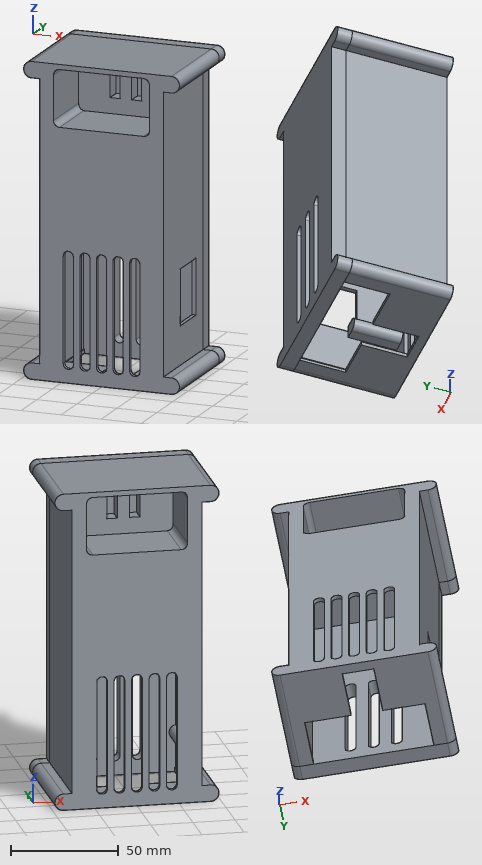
import cadquery as cq

width = 78.0
depth = 57.6
height = 153.7

body_width = 61.8
flange_height = 8.0
cover_thickness = 7.2
seam_y = depth - cover_thickness

wall = 2.0
inner_half_width = body_width / 2 - wall

window_width = 48.0
window_bottom = 123.3
window_top = 151.2
window_corner_diameter = 6.0
window_radius = window_corner_diameter / 2
cavity_top = window_bottom - wall

insert_gap = 0.5
insert_front_y = 30.7
port_width = 4.9
port_bottom = 131.0
port_top = 143.2
port_depth = 7.7
port_spacing = 10.8

vent_width = 5.0
front_vent_count = 5
front_vent_pitch = 8.3
front_vent_bottom = 6.8
front_vent_top = 63.8
rear_vent_count = 3
rear_vent_pitch = 10.9
rear_vent_bottom = 6.9
rear_vent_top = 66.9

floor_opening_width = 56.9
floor_opening_front_y = 27.5
notch_left_x = -6.5
notch_right_x = 8.5
notch_front_y = 4.6

side_opening_front_y = 21.7
side_opening_length = 20.0
side_opening_bottom = 27.0
side_opening_height = 27.5

post_radius = 3.5
post_x = 24.3
post_z = 26.7
post_end_y = 26.1


def box_between(x0, x1, y0, y1, z0, z1):
    """Box given by its limits along each axis."""
    return cq.Workplane("XY").box(x1 - x0, y1 - y0, z1 - z0, centered=False).translate((x0, y0, z0))


def centred_box(box_width, y0, y1, z0, z1):
    """Box between the given limits, centred on X = 0."""
    return box_between(-box_width / 2, box_width / 2, y0, y1, z0, z1)


def tower_block(y0, y1):
    """Solid slice of the tower outline between two Y positions."""
    block = centred_box(body_width, y0, y1, 0, height)
    for flange_z in (flange_height / 2, height - flange_height / 2):
        flange = (
            cq.Workplane("XZ", origin=(0, y0, flange_z))
            .slot2D(width, flange_height)
            .extrude(y0 - y1)
        )
        block = block.union(flange)
    return block


def vent_cutters(count, pitch, bottom, top, y0, y1):
    """Row of upright round-ended slots, centred on X = 0."""
    return (
        cq.Workplane("XZ", origin=(0, y0, (bottom + top) / 2))
        .rarray(pitch, 1.5, count, 1)
        .slot2D(top - bottom, vent_width, 90)
        .extrude(y0 - y1)
    )


def make_post():
    """Post with a half-round tip, joined to the +X wall by a flat-sided web."""
    start_y = wall / 2
    tip = (
        cq.Workplane("XZ", origin=(post_x, start_y, post_z))
        .circle(post_radius)
        .extrude(start_y - post_end_y)
    )
    web = box_between(
        post_x, inner_half_width, start_y, post_end_y, post_z - post_radius, post_z + post_radius
    )
    return tip.union(web)


def cut_floor(shell):
    """Open the floor at the rear and along the notch in front."""
    rear = centred_box(floor_opening_width, floor_opening_front_y, seam_y, 0, wall)
    notch = box_between(notch_left_x, notch_right_x, notch_front_y, floor_opening_front_y, 0, wall)
    return shell.cut(rear).cut(notch)


def cut_side_opening(shell):
    """Rectangular opening through the +X wall only."""
    opening = box_between(
        inner_half_width,
        body_width / 2,
        side_opening_front_y,
        side_opening_front_y + side_opening_length,
        side_opening_bottom,
        side_opening_bottom + side_opening_height,
    )
    return shell.cut(opening)


def make_housing():
    shell = tower_block(0, seam_y)
    shell = shell.cut(centred_box(2 * inner_half_width, wall, seam_y, wall, cavity_top))
    pocket = centred_box(window_width, 0, seam_y, window_bottom, window_top)
    shell = shell.cut(pocket.edges("|Y").fillet(window_radius))
    shell = shell.cut(
        vent_cutters(front_vent_count, front_vent_pitch, front_vent_bottom, front_vent_top, 0, wall)
    )
    shell = cut_floor(shell)
    shell = cut_side_opening(shell)
    return shell.union(make_post())


def make_cover():
    vents = vent_cutters(
        rear_vent_count, rear_vent_pitch, rear_vent_bottom, rear_vent_top, seam_y, depth
    )
    return tower_block(seam_y, depth).cut(vents)


def make_insert():
    insert_width = window_width - 2 * insert_gap
    insert_top = window_top - insert_gap
    block = centred_box(insert_width, insert_front_y, seam_y, window_bottom, insert_top)
    block = block.edges("|Y").fillet(window_radius)
    port = centred_box(
        port_width, insert_front_y, insert_front_y + port_depth, port_bottom, port_top
    )
    for side in (-1, 1):
        block = block.cut(port.translate((side * port_spacing / 2, 0, 0)))
    return block


housing = make_housing()
cover = make_cover()
insert = make_insert()

result = cq.Compound.makeCompound([housing.solids().val(), cover.solids().val(), insert.solids().val()])